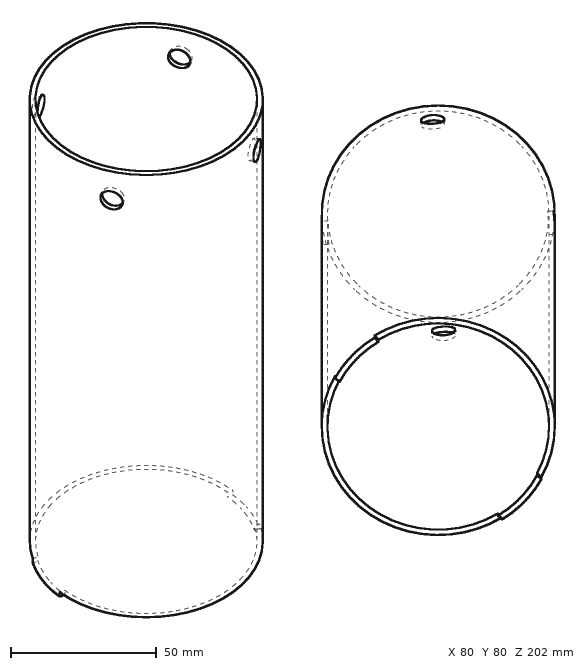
import cadquery as cq

outer_diameter = 80.0
wall_thickness = 2.0
tube_length = 200.0
inner_diameter = outer_diameter - 2 * wall_thickness

tab_width = 20.0
tab_height = 2.0

hole_diameter = 8.0
hole_drop = 13.0
hole_height = tube_length - hole_drop
first_hole_angle = 45.0
hole_axis_spacing = 90.0
hole_axis_count = 2


def ring(bottom, height):
    """Plain length of tube starting at the given Z."""
    return (
        cq.Workplane("XY")
        .workplane(offset=bottom)
        .circle(outer_diameter / 2)
        .circle(inner_diameter / 2)
        .extrude(height)
    )


def tabs():
    """Two opposite pieces of the wall, kept within the tab width."""
    strip = (
        cq.Workplane("XY")
        .workplane(offset=-tab_height)
        .rect(tab_width, outer_diameter)
        .extrude(2 * tab_height)
    )
    return ring(-tab_height, 2 * tab_height).intersect(strip)


def cross_hole(angle):
    """Cylinder through both sides of the tube, its axis turned about Z from X."""
    return (
        cq.Workplane("YZ")
        .center(0, hole_height)
        .circle(hole_diameter / 2)
        .extrude(outer_diameter, both=True)
        .rotate((0, 0, 0), (0, 0, 1), angle)
    )


result = ring(0, tube_length).union(tabs())
for index in range(hole_axis_count):
    result = result.cut(cross_hole(first_hole_angle + index * hole_axis_spacing))